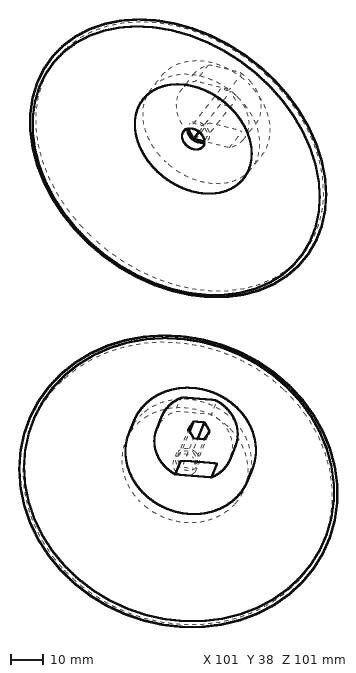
import cadquery as cq
import math

total_length = 38.0
rim_radius = 50.5

bead_front_round = 1.4
bead_back_round = 1.0
bead_land = 0.2
cup_mouth_radius = rim_radius - bead_front_round
bead_back_radius = rim_radius - bead_back_round
bead_width = bead_front_round + bead_land + bead_back_round

dome_edge_radius = 49.2
collar_radius = 20.0
dome_top = 19.2
dome_mid_radius = 36.7
dome_mid = 12.2

floor_radius = 20.0
floor_depth = 13.1
inner_bulge = 0.5

collar_top = 28.0
collar_fillet = 0.9
hub_radius = 12.4
hub_fillet = 0.7
hub_flats_width = 22.0

bore_diameter = 7.7
bore_depth = 4.0
hex_across_flats = 5.9


def disc(radius, start, end):
    """Cylinder around the Y axis from Y = start to Y = end."""
    return cq.Workplane("XZ", origin=(0, start, 0)).circle(radius).extrude(start - end)


def make_cup():
    """Revolve the thin dome section, drawn as (radius, Y), around the Y axis."""
    inner_run = cup_mouth_radius - floor_radius
    inner_length = math.hypot(inner_run, floor_depth)
    inner_mid = (
        (cup_mouth_radius + floor_radius) / 2 + inner_bulge * floor_depth / inner_length,
        floor_depth / 2 + inner_bulge * inner_run / inner_length,
    )
    return (
        cq.Workplane("XY")
        .moveTo(0, floor_depth)
        .lineTo(floor_radius, floor_depth)
        .threePointArc(inner_mid, (cup_mouth_radius, 0))
        .radiusArc((rim_radius, bead_front_round), -bead_front_round)
        .lineTo(rim_radius, bead_front_round + bead_land)
        .radiusArc((bead_back_radius, bead_width), -bead_back_round)
        .lineTo(dome_edge_radius, bead_width)
        .threePointArc((dome_mid_radius, dome_mid), (collar_radius, dome_top))
        .lineTo(0, dome_top)
        .close()
        .revolve(360, (0, 0, 0), (0, 1, 0))
    )


def make_collar():
    return disc(collar_radius, dome_top, collar_top).faces(">Y").edges().fillet(collar_fillet)


def make_hub():
    """Round hub with two wrench flats facing +Z and -Z."""
    hub = disc(hub_radius, collar_top, total_length).faces(">Y").edges().fillet(hub_fillet)
    flats = cq.Workplane("XY").box(2 * hub_radius, 2 * total_length, hub_flats_width)
    return hub.intersect(flats)


def make_opening():
    """Round bore behind the cup floor, continued by a hexagon through the hub."""
    bore_end = floor_depth + bore_depth
    bore = disc(bore_diameter / 2, floor_depth, bore_end)
    hex_across_corners = hex_across_flats / math.cos(math.pi / 6)
    hexagon = (
        cq.Workplane("XZ", origin=(0, bore_end, 0))
        .polygon(6, hex_across_corners)
        .extrude(bore_end - total_length)
    )
    return bore.union(hexagon)


result = make_cup().union(make_collar()).union(make_hub()).cut(make_opening())